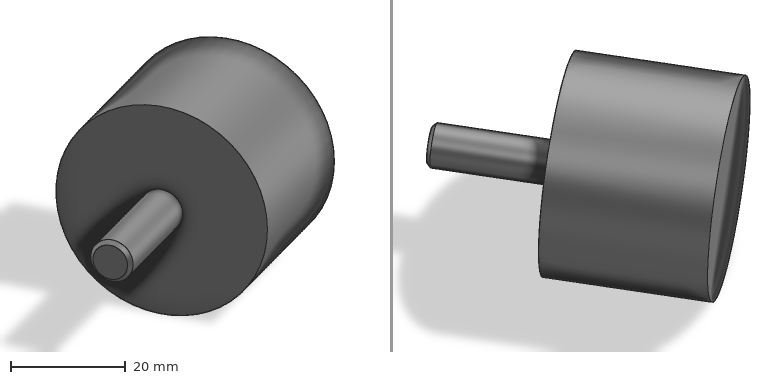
import cadquery as cq

total_length = 53.0
body_diameter = 40.0
body_length = 30.0
stud_diameter = 8.0
stud_chamfer = 0.75
stud_length = total_length - body_length


def make_body():
    """Plain cylinder running from the mounting face at Y = 0 toward +Y."""
    return cq.Workplane("XZ").circle(body_diameter / 2).extrude(-body_length)


def make_stud():
    """Pin running from the mounting face toward -Y, chamfered at its free end."""
    stud = cq.Workplane("XZ").circle(stud_diameter / 2).extrude(stud_length)
    return stud.faces("<Y").chamfer(stud_chamfer)


result = make_body().union(make_stud())